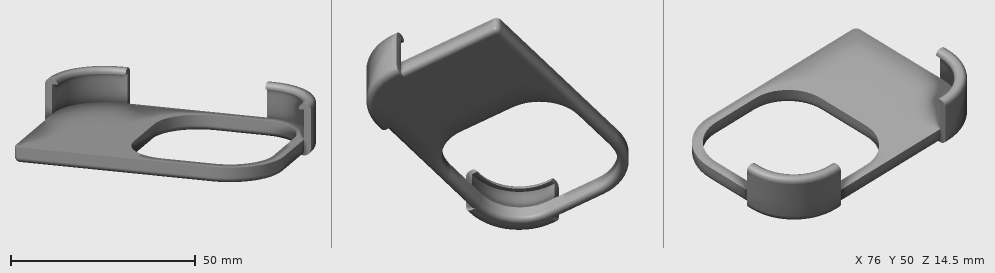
import cadquery as cq

length = 76.0
height = 14.5

wall = 2.0
plate_length = length - 2 * wall
plate_width = 48.0
plate_thickness = 4.5
plate_small_radius = 1.5
plate_large_radius = 15.5
plate_fillet = 1.45

window_rim = 3.0
window_length = 40.0
window_width = plate_width - 2 * window_rim
window_radius = plate_large_radius - window_rim

clip_reach = 18.0
clip_outer_radius = 16.5
clip_inner_radius = 15.0
clip_bottom_fillet = 2.0
clip_rim_fillet = 1.5
lip_width = 3.5
lip_thickness = 1.6
lip_radius = clip_outer_radius - lip_width

plate_right = plate_length / 2
plate_back = plate_width / 2
clip_back = plate_back + wall


def rounded_slab(size_x, size_y, radius, bottom, top):
    """Upright slab centred on the Z axis with four rounded corners."""
    slab = cq.Workplane("XY", origin=(0, 0, bottom)).rect(size_x, size_y).extrude(top - bottom)
    return slab.edges("|Z").fillet(radius)


def make_plate():
    """Plate with one small and one large front corner and a rounded underside."""
    plate = cq.Workplane("XY").rect(plate_length, plate_width).extrude(plate_thickness)
    plate = plate.edges("|Z and >Y").fillet(clip_inner_radius)
    plate = plate.edges("|Z and <X and <Y").fillet(plate_small_radius)
    plate = plate.edges("|Z and >X and <Y").fillet(plate_large_radius)
    return plate.faces("<Z").edges().fillet(plate_fillet)


def make_clip_tray():
    """Full tray with an inward lip; only its two back corners become clips."""
    outer_width = plate_width + 2 * wall
    tray = rounded_slab(length, outer_width, clip_outer_radius, 0, height)
    tray = tray.faces("<Z").edges().fillet(clip_bottom_fillet)
    tray = tray.faces(">Z").edges().fillet(clip_rim_fillet)

    cavity_top = height - lip_thickness
    cavity = rounded_slab(plate_length, plate_width, clip_inner_radius, plate_thickness, cavity_top)

    opening_length = length - 2 * lip_width
    opening_width = outer_width - 2 * lip_width
    opening = rounded_slab(opening_length, opening_width, lip_radius, plate_thickness, height)
    tray = tray.cut(cavity).cut(opening)

    return tray.faces(">Z").wires().item(1).edges().fillet(clip_rim_fillet)


def make_clips():
    """The two back corners of the tray."""
    corner_centres = [
        (side * (length - clip_reach) / 2, clip_back - clip_reach / 2) for side in (-1, 1)
    ]
    corners = cq.Workplane("XY").pushPoints(corner_centres).rect(clip_reach, clip_reach).extrude(height)
    return make_clip_tray().intersect(corners)


def make_window():
    """Rounded opening through the plate."""
    window = rounded_slab(window_length, window_width, window_radius, 0, plate_thickness)
    return window.translate((plate_right - window_rim - window_length / 2, 0, 0))


body = make_plate().union(make_clips()).cut(make_window())

window_edges = body.faces("<Z").wires().item(1).edges()
result = window_edges.fillet(plate_fillet)